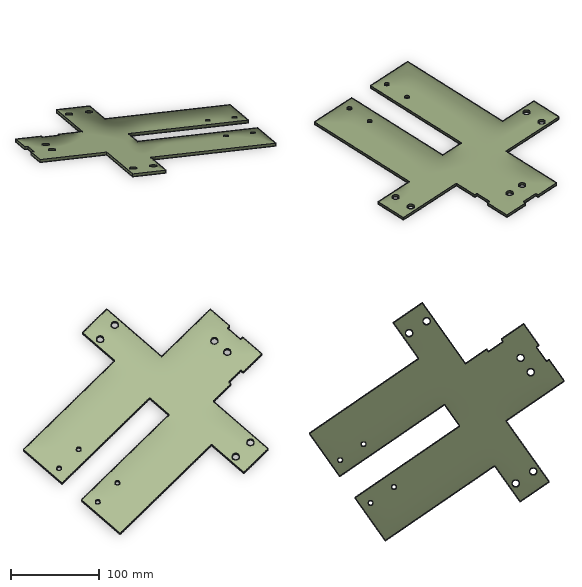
import cadquery as cq

thickness = 3.5
total_length = 270.0

arm_span = 250.0
arm_bottom = 80.0
arm_height = 40.0
arm_top = arm_bottom + arm_height

stem_width = 80.0

prong_width = 60.0
slot_width = 30.0
slot_floor = 126.0
prong_outer_x = slot_width / 2 + prong_width

notch_length = 20.0
notch_depth = thickness
side_notch_center_y = 40.8

large_hole_diameter = 8.0
small_hole_diameter = 5.5
arm_hole_x = 105.0
arm_hole_spacing = 24.0
prong_hole_x = 30.0
prong_hole_spacing = 32.0
prong_hole_end_distance = 11.0
stem_hole_x = notch_length / 2
stem_hole_y = 25.0


def slab(x_min, x_max, y_min, y_max):
    """Full-thickness rectangular block between the given limits."""
    block = cq.Workplane("XY").box(x_max - x_min, y_max - y_min, thickness, centered=False)
    return block.translate((x_min, y_min, 0))


def drill(plate, points, diameter):
    """Cut round through holes at the given points."""
    pins = cq.Workplane("XY").pushPoints(points).circle(diameter / 2).extrude(thickness)
    return plate.cut(pins)


stem = slab(-stem_width / 2, stem_width / 2, 0, arm_top)
crossbar = slab(-arm_span / 2, arm_span / 2, arm_bottom, arm_top)
prongs = slab(-prong_outer_x, prong_outer_x, arm_top, total_length)
plate = stem.union(crossbar).union(prongs).clean()

plate = plate.cut(slab(-slot_width / 2, slot_width / 2, slot_floor, total_length))

plate = plate.cut(slab(-notch_length / 2, notch_length / 2, 0, notch_depth))
plate = plate.cut(
    slab(
        -stem_width / 2,
        -stem_width / 2 + notch_depth,
        side_notch_center_y - notch_length / 2,
        side_notch_center_y + notch_length / 2,
    )
)

arm_center_y = arm_bottom + arm_height / 2
upper_prong_hole_y = total_length - prong_hole_end_distance
for side in (-1, 1):
    arm_points = [(side * arm_hole_x, arm_center_y + end * arm_hole_spacing / 2) for end in (-1, 1)]
    prong_points = [(side * prong_hole_x, upper_prong_hole_y - row * prong_hole_spacing) for row in (0, 1)]
    plate = drill(plate, arm_points, large_hole_diameter)
    plate = drill(plate, prong_points, small_hole_diameter)
    plate = drill(plate, [(side * stem_hole_x, stem_hole_y)], large_hole_diameter)

result = plate